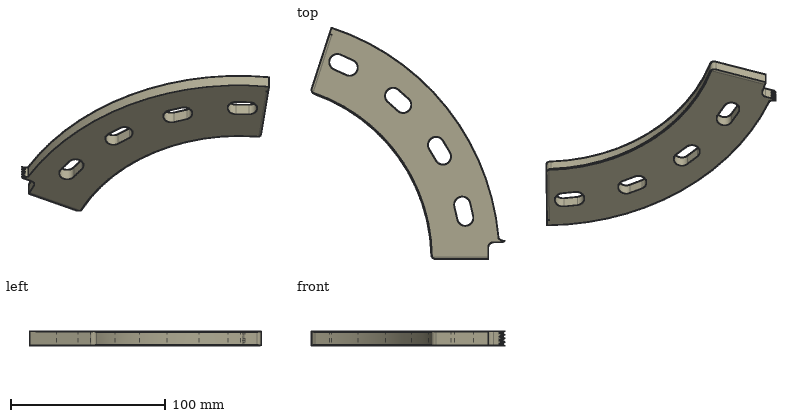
import cadquery as cq
import math

thickness = 9.5
sweep = 72.0
overall_width = 150.0
outer_radius = overall_width / math.sin(math.radians(sweep))
inner_radius = 113.5
corner_radius = 3.0

slot_count = 4
slot_circle_radius = 138.0
first_slot_angle = 13.0
slot_pitch_angle = 17.6
slot_length = 19.0
slot_width = 10.4

notch_x = 150.5
notch_height = 10.8
notch_fillet = 3.2

tooth_count = 4
inner_corner_distance = inner_radius + corner_radius
inner_corner_angle = math.radians(sweep) - math.asin(corner_radius / inner_corner_distance)
leftmost_x = inner_corner_distance * math.cos(inner_corner_angle) - corner_radius
overall_length = 125.1
lip_tip_x = leftmost_x + overall_length
lip_tip_height = 1.0
lip_root_top = 13.5
lip_sag = 0.5
tooth_root_x = 157.5
lip_slope = 40.0

end_bevel_width = 1.5
end_bevel_depth = 0.3
end_bevel_outer_radius = 153.5
inner_bevel = 0.6


def polar(radius, angle):
    """Point at a radius and an angle in degrees."""
    a = math.radians(angle)
    return (radius * math.cos(a), radius * math.sin(a))


def make_sector():
    """Flat ring sector with rounded inner corners."""
    sector = (
        cq.Workplane("XY")
        .moveTo(inner_radius, 0)
        .lineTo(outer_radius, 0)
        .threePointArc(polar(outer_radius, sweep / 2), polar(outer_radius, sweep))
        .lineTo(*polar(inner_radius, sweep))
        .threePointArc(polar(inner_radius, sweep / 2), (inner_radius, 0))
        .close()
        .extrude(thickness)
    )
    for angle in (0, sweep):
        x, y = polar(inner_radius, angle)
        corner = cq.selectors.NearestToPointSelector((x, y, thickness / 2))
        sector = sector.edges("|Z").edges(corner).fillet(corner_radius)
    return sector


def make_notch():
    """Square corner cut-out with one rounded inside corner."""
    size = lip_tip_x - notch_x
    return (
        cq.Workplane("XY")
        .rect(size, notch_height, centered=False)
        .extrude(thickness)
        .edges("|Z and <X and >Y")
        .fillet(notch_fillet)
        .translate((notch_x, 0, 0))
    )


def make_lip():
    """Pointed lip that flares out of the rim, cut into teeth by V-grooves along its sloping end."""
    slope_run = 1 / math.tan(math.radians(lip_slope))
    crest_x = lip_tip_x - lip_tip_height * slope_run
    tip_top = notch_height + lip_tip_height
    root_x = math.sqrt(outer_radius**2 - lip_root_top**2)
    flare_middle = ((root_x + lip_tip_x) / 2, (lip_root_top + tip_top) / 2 - lip_sag)
    lip = (
        cq.Workplane("XY")
        .moveTo(notch_x + notch_fillet, notch_height)
        .lineTo(crest_x, notch_height)
        .lineTo(lip_tip_x, tip_top)
        .threePointArc(flare_middle, (root_x, lip_root_top))
        .lineTo(notch_x + notch_fillet, lip_root_top)
        .close()
        .extrude(thickness)
    )
    pitch = thickness / tooth_count
    groove_direction = cq.Vector(slope_run, 1, 0) * (lip_root_top - notch_height)
    for i in range(tooth_count):
        groove_profile = cq.Wire.makePolygon(
            [
                cq.Vector(crest_x, notch_height, i * pitch),
                cq.Vector(tooth_root_x, notch_height, (i + 0.5) * pitch),
                cq.Vector(crest_x, notch_height, (i + 1) * pitch),
            ],
            close=True,
        )
        groove = cq.Solid.extrudeLinear(groove_profile, [], groove_direction)
        lip = lip.cut(groove)
    return lip


def make_slots():
    """Straight slots spaced along a circle, each tangent to it."""
    slots = cq.Workplane("XY")
    for i in range(slot_count):
        angle = first_slot_angle + i * slot_pitch_angle
        slot = (
            cq.Workplane("XY")
            .center(slot_circle_radius, 0)
            .slot2D(slot_length, slot_width, 90)
            .extrude(thickness)
            .rotate((0, 0, 0), (0, 0, 1), angle)
        )
        slots = slots.add(slot)
    return slots.combine()


def both_faces(cutter):
    """A top-face cutter together with its mirror image on the bottom face."""
    return cutter.union(cutter.mirror("XY", (0, 0, thickness / 2)))


def make_end_bevel(outer_end):
    """Shallow bevel along an end face lying on +X."""
    bevel = (
        cq.Workplane("YZ")
        .moveTo(0, thickness)
        .lineTo(end_bevel_width, thickness)
        .lineTo(0, thickness - end_bevel_depth)
        .close()
        .extrude(outer_end - inner_radius)
        .translate((inner_radius, 0, 0))
    )
    return both_faces(bevel)


def make_inner_bevel():
    """Bevel around the inner arc."""
    bevel = (
        cq.Workplane("XZ")
        .moveTo(inner_radius, thickness)
        .lineTo(inner_radius + inner_bevel, thickness)
        .lineTo(inner_radius, thickness - inner_bevel)
        .close()
        .revolve(360, (0, 0, 0), (0, 1, 0))
    )
    return both_faces(bevel)


first_end_bevel = make_end_bevel(notch_x)
last_end_bevel = (
    make_end_bevel(end_bevel_outer_radius)
    .mirror("XZ")
    .rotate((0, 0, 0), (0, 0, 1), sweep)
)

result = (
    make_sector()
    .cut(make_notch())
    .cut(make_slots())
    .cut(first_end_bevel)
    .cut(last_end_bevel)
    .cut(make_inner_bevel())
    .union(make_lip())
)